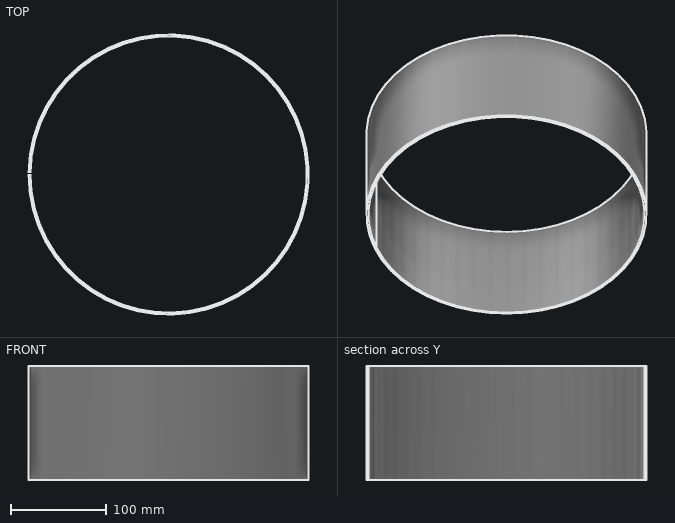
import cadquery as cq

outer_diameter = 295.0
wall = 2.42
height = 120.0
gap_width = 2.5
rim_chamfer = 0.47

outer_radius = outer_diameter / 2

band = (
    cq.Workplane("XY")
    .circle(outer_radius)
    .extrude(height)
    .edges("%CIRCLE")
    .chamfer(rim_chamfer)
    .faces(">Z")
    .workplane()
    .circle(outer_radius - wall)
    .cutThruAll()
    .rotate((0, 0, 0), (0, 0, 1), 180)
)

gap_cutter = (
    cq.Workplane("XY")
    .center(-outer_radius, gap_width / 2)
    .rect(4 * wall, gap_width)
    .extrude(height)
)

result = band.cut(gap_cutter)